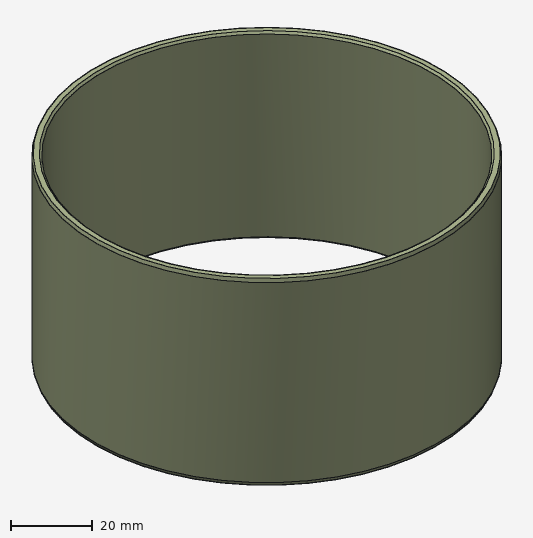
import cadquery as cq
import math

outer_diameter = 115.0
wall_thickness = 2.45
height = 60.0

outer_bevel_height = 1.0
outer_bevel_angle = 20.0

bore_chamfer = 0.6

outer_radius = outer_diameter / 2
bore_radius = outer_radius - wall_thickness
outer_bevel_width = outer_bevel_height * math.tan(math.radians(outer_bevel_angle))


def wall_section():
    """Section of the wall in the XZ plane, with all four corners cut back."""
    rim_outer_radius = outer_radius - outer_bevel_width
    rim_inner_radius = bore_radius + bore_chamfer
    return cq.Workplane("XZ").polyline([
        (rim_inner_radius, 0),
        (rim_outer_radius, 0),
        (outer_radius, outer_bevel_height),
        (outer_radius, height - outer_bevel_height),
        (rim_outer_radius, height),
        (rim_inner_radius, height),
        (bore_radius, height - bore_chamfer),
        (bore_radius, bore_chamfer),
    ]).close()


result = wall_section().revolve(360, (0, 0, 0), (0, 1, 0))